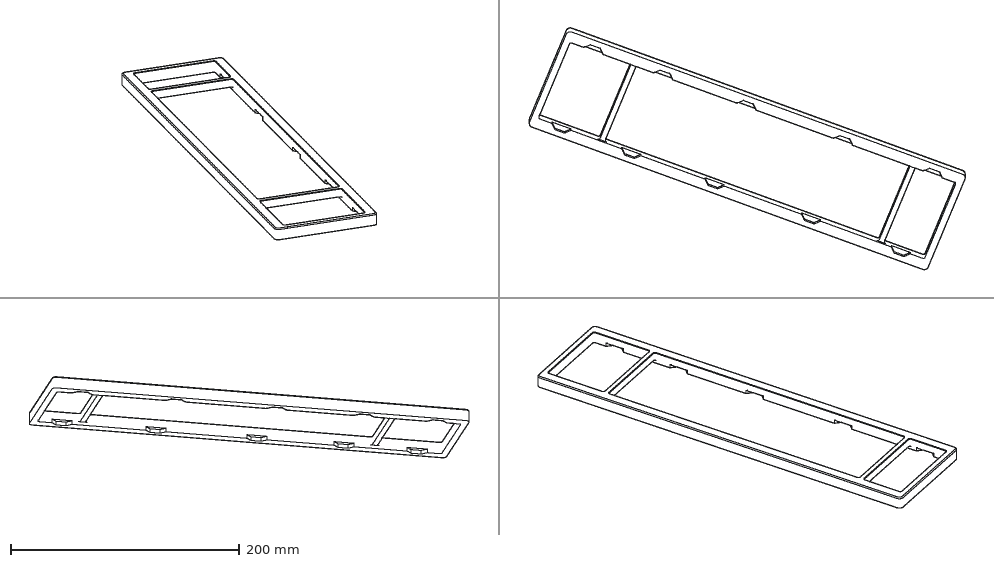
import cadquery as cq
length = 375.0
width = 96.0
height = 11.0
corner_radius = 3.7
edge_chamfer = 1.0

end_rail = 6.0
side_rail = 9.7
bar_width = 5.0
bar_bottom = 3.0
bar_centers = (-141.0, 121.5)
opening_corner_radius = 1.5
opening_chamfer = 0.5
opening_width = width - 2 * side_rail

notch_centers = (-159.5, -75, 15.7, 94.0, 159.7)
notch_length = 18.0
notch_depth = 4.5
notch_height = 3.5


def frame_blank():
    """Solid slab with rounded corners and a chamfered top edge."""
    blank = cq.Workplane("XY").box(length, width, height, centered=(True, True, False))
    blank = blank.edges("|Z").fillet(corner_radius)
    return blank.faces(">Z").edges().chamfer(edge_chamfer)


def rounded_block(x_center, size_x, size_y, base_z, block_height, radius):
    """Block centered on the long axis, with rounded vertical edges."""
    return (
        cq.Workplane("XY", origin=(x_center, 0, base_z))
        .rect(size_x, size_y)
        .extrude(block_height)
        .edges("|Z")
        .fillet(radius)
    )


def opening(x_start, x_end):
    """Through opening with rounded corners and a small chamfer around its top rim."""
    x_center = (x_start + x_end) / 2
    size = x_end - x_start
    through = rounded_block(x_center, size, opening_width, 0, height, opening_corner_radius)
    rim = rounded_block(
        x_center,
        size + 2 * opening_chamfer,
        opening_width + 2 * opening_chamfer,
        height - opening_chamfer,
        2 * opening_chamfer,
        opening_corner_radius + opening_chamfer,
    )
    return through.union(rim.faces("<Z").edges().chamfer(opening_chamfer))


def bar_relief(x_center):
    """Clearance that lifts the underside of a bar above the base plane."""
    return (
        cq.Workplane("XY")
        .center(x_center, 0)
        .rect(bar_width + 2 * opening_corner_radius, opening_width)
        .extrude(bar_bottom)
    )


def notch(x_center, side):
    """Pocket in the underside of a long rail, open to the opening (side is +1 or -1)."""
    inner_y = side * opening_width / 2
    back_y = inner_y + side * notch_depth
    half_mouth = notch_length / 2
    half_back = half_mouth - notch_depth
    outline = [
        (x_center - half_mouth, inner_y),
        (x_center - half_back, back_y),
        (x_center + half_back, back_y),
        (x_center + half_mouth, inner_y),
    ]
    return cq.Workplane("XY").polyline(outline).close().extrude(notch_height)


result = frame_blank()

opening_starts = [-length / 2 + end_rail] + [x + bar_width / 2 for x in bar_centers]
opening_ends = [x - bar_width / 2 for x in bar_centers] + [length / 2 - end_rail]
for x_start, x_end in zip(opening_starts, opening_ends):
    result = result.cut(opening(x_start, x_end))

for x_center in bar_centers:
    result = result.cut(bar_relief(x_center))

for x_center in notch_centers:
    for side in (-1, 1):
        result = result.cut(notch(x_center, side))